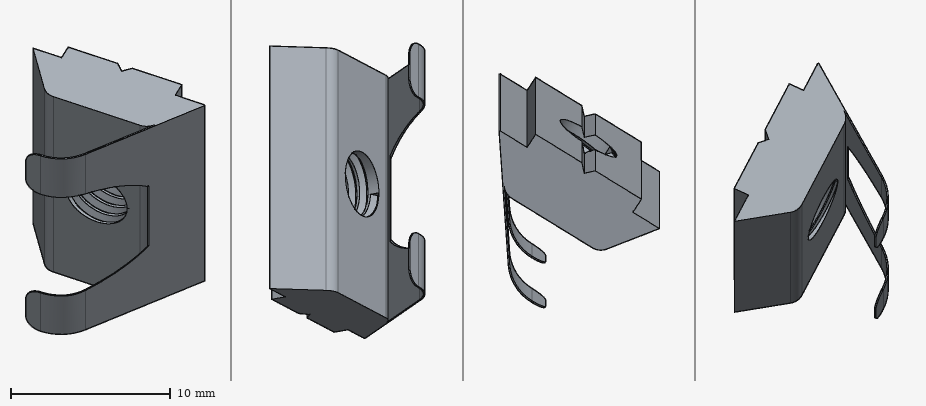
import cadquery as cq
import math

length = 16.0
shoulder_width = 11.8
base_width = 7.0
wedge_depth = 3.3
rail_width = 7.85
rail_height = 1.0
edge_radius = 1.0
notch_depth = 0.5

crest_diameter = 4.2
root_diameter = 5.1
pitch = 0.8
thread_end_gap = 0.005
crest_width = pitch / 4
groove_flank_angle = math.radians(30)
tool_overlap = 0.05

sheet_thickness = 0.1
sheet_overshoot = 0.017
spring_depth = 8.3
bend_radius = 3.1
spring_tip_x = -2.63
window_radius = 4.5
leg_corner_radius = 1.0

shoulder_half = shoulder_width / 2
base_half = base_width / 2
rail_half = rail_width / 2
flank_angle = math.atan2(wedge_depth, shoulder_half - base_half)
flank_cos = math.cos(flank_angle)
flank_sin = math.sin(flank_angle)


def extrude_along_slot(outline):
    return outline.close().extrude(length / 2, both=True)


def make_body():
    outline = cq.Workplane("XY").polyline([
        (-base_half, -wedge_depth),
        (base_half, -wedge_depth),
        (shoulder_half, 0),
        (rail_half, 0),
        (rail_half, rail_height),
        (notch_depth, rail_height),
        (0, rail_height - notch_depth),
        (-notch_depth, rail_height),
        (-rail_half, rail_height),
        (-rail_half, 0),
        (-shoulder_half, 0),
    ])
    body = extrude_along_slot(outline)
    return body.faces("<Y").edges("|Z").fillet(edge_radius)


def bend_point(center, radius, angle):
    """Point on the bend, at an angle measured from straight down."""
    return center[0] + radius * math.sin(angle), center[1] - radius * math.cos(angle)


def make_sheet():
    """Spring strip of full length: flank, bend and flat tip."""
    inner_radius = bend_radius - sheet_thickness
    inner_end = (
        shoulder_half + sheet_overshoot * flank_cos,
        sheet_overshoot * flank_sin,
    )
    outer_end = (
        inner_end[0] + sheet_thickness * flank_sin,
        inner_end[1] - sheet_thickness * flank_cos,
    )
    corner_x = outer_end[0] - (outer_end[1] + spring_depth) / math.tan(flank_angle)
    center = (
        corner_x - bend_radius * math.tan(flank_angle / 2),
        bend_radius - spring_depth,
    )
    outline = (
        cq.Workplane("XY")
        .moveTo(*inner_end)
        .lineTo(*outer_end)
        .lineTo(*bend_point(center, bend_radius, flank_angle))
        .threePointArc(
            bend_point(center, bend_radius, flank_angle / 2),
            bend_point(center, bend_radius, 0),
        )
        .lineTo(spring_tip_x, -spring_depth)
        .lineTo(spring_tip_x, sheet_thickness - spring_depth)
        .lineTo(*bend_point(center, inner_radius, 0))
        .threePointArc(
            bend_point(center, inner_radius, flank_angle / 2),
            bend_point(center, inner_radius, flank_angle),
        )
    )
    return extrude_along_slot(outline)


def make_window():
    """Round-ended opening below the base that splits the strip into two legs."""
    reach = window_radius - spring_tip_x
    height = spring_depth - wedge_depth
    base_plane = cq.Workplane("XZ", origin=(0, -wedge_depth, 0))
    round_end = base_plane.circle(window_radius).extrude(height)
    open_side = base_plane.center(-reach / 2, 0).rect(reach, 2 * window_radius).extrude(height)
    return round_end.union(open_side)


def make_spring():
    legs = make_sheet().cut(make_window())
    return legs.faces("<X").edges("|Y").fillet(leg_corner_radius)


def make_bore():
    depth = wedge_depth + rail_height
    return cq.Workplane("XZ", origin=(0, -wedge_depth, 0)).circle(crest_diameter / 2).extrude(-depth)


def make_thread_groove():
    """Helical groove, built along Z from the base face and then turned to run along Y."""
    crest_radius = crest_diameter / 2
    root_radius = root_diameter / 2
    tool_radius = crest_radius - tool_overlap
    half_mouth = (pitch - crest_width) / 2
    half_tool = half_mouth + tool_overlap * math.tan(groove_flank_angle)
    half_floor = half_mouth - (root_radius - crest_radius) * math.tan(groove_flank_angle)
    first_centre = thread_end_gap + half_mouth
    helix_height = wedge_depth + rail_height - 2 * first_centre
    helix = cq.Wire.makeHelix(pitch, helix_height, crest_radius)
    groove = (
        cq.Workplane("XZ")
        .polyline([
            (tool_radius, -half_tool),
            (root_radius, -half_floor),
            (root_radius, half_floor),
            (tool_radius, half_tool),
        ])
        .close()
        .sweep(cq.Workplane(helix), isFrenet=True)
    )
    return (
        groove
        .rotate((0, 0, 0), (1, 0, 0), -90)
        .translate((0, first_centre - wedge_depth, 0))
    )


result = make_body().cut(make_bore()).cut(make_thread_groove()).union(make_spring())